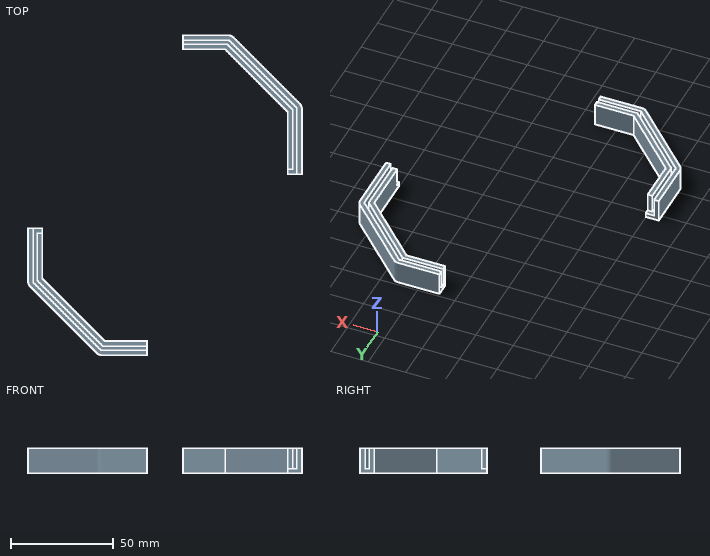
import cadquery as cq
import math

span_x = 134.3
span_y = 156.8
height = 12.4

wall = 2.5
slot_width = 2.0
thickness = 2 * wall + slot_width
slot_floor = 2.4
notch_length = 2.5

x_arm = 20.7
corner_run = 30.6
far_y_arm = 30.6
near_y_arm = 24.6
corner_radius = 3.9


def bend_path(offset, y_arm):
    """Corners of the bent path lying `offset` inside the outer faces, whose corner is the origin."""
    inset = thickness - offset
    bend_shift = inset * math.tan(math.radians(22.5))
    x_bend = -thickness - corner_run + bend_shift
    y_bend = -thickness - corner_run + bend_shift
    x_end = -thickness - corner_run - x_arm
    y_end = -thickness - corner_run - y_arm
    return [(x_end, -offset), (x_bend, -offset), (-offset, y_bend), (-offset, y_end)]


def bent_strip(outer_offset, inner_offset, y_arm, bottom):
    """Strip between two offsets, from `bottom` up to the top face."""
    outline = bend_path(outer_offset, y_arm) + bend_path(inner_offset, y_arm)[::-1]
    return cq.Workplane("XY").workplane(offset=bottom).polyline(outline).close().extrude(height - bottom)


def make_bracket(y_arm):
    """Slotted corner bracket with its outer faces on X = 0 and Y = 0."""
    body = bent_strip(0, thickness, y_arm, 0)
    for x, y in bend_path(0, y_arm)[1:3]:
        bend_edge = cq.selectors.NearestToPointSelector((x, y, height / 2))
        body = body.edges("|Z").edges(bend_edge).fillet(corner_radius)

    slot = bent_strip(wall, wall + slot_width, y_arm, slot_floor)
    body = body.cut(slot)

    y_end = bend_path(0, y_arm)[3][1]
    notch = (
        cq.Workplane("XY")
        .box(wall, notch_length, height - slot_floor, centered=False)
        .translate((-thickness, y_end, slot_floor))
    )
    return body.cut(notch)


far_bracket = make_bracket(far_y_arm).translate((span_x / 2, span_y / 2, 0))

near_bracket = (
    make_bracket(near_y_arm)
    .rotate((0, 0, 0), (0, 0, 1), 180)
    .translate((-span_x / 2, -span_y / 2, 0))
)

result = cq.Compound.makeCompound([far_bracket.val(), near_bracket.val()])